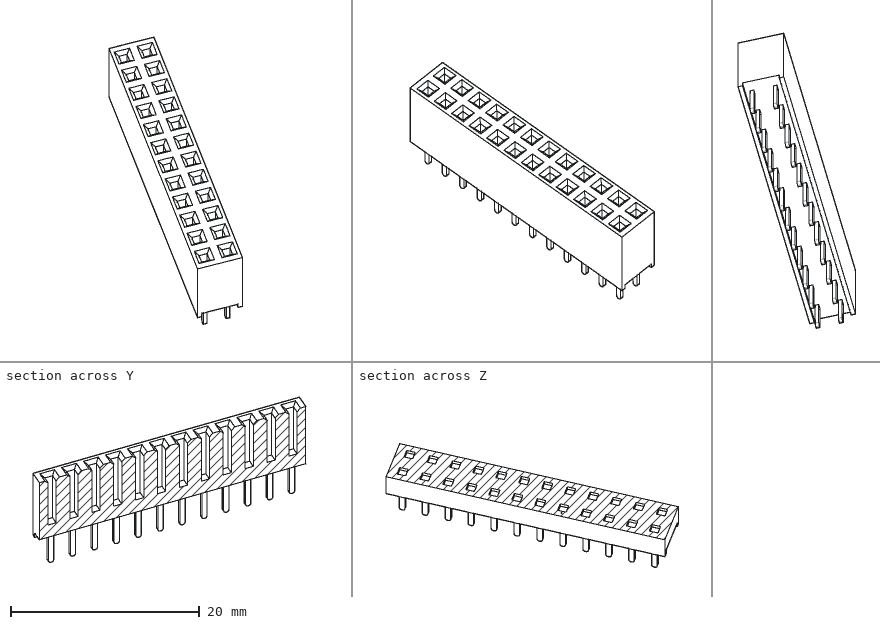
import cadquery as cq

housing_length = 30.9
housing_width = 5.0
housing_height = 8.5
total_height = 11.7

foot_width = 0.5
channel_height = 0.55

columns = 12
rows = 2
end_margin = 1.48
pitch = (housing_length - 2 * end_margin) / (columns - 1)

mouth_size = 1.7
bore_size = 0.9
mouth_depth = (mouth_size - bore_size) / 2
bore_floor_z = 2.32

pin_width = 0.62
pin_thickness = 0.4
pin_tip_z = housing_height - total_height
pin_tip_radius = 0.3
pin_length = channel_height - pin_tip_z


def box_above(length, width, height, base_z):
    """Box centred on the Z axis, standing on base_z."""
    return cq.Workplane("XY").workplane(offset=base_z).rect(length, width).extrude(height)


def on_grid(shape):
    """Copy a shape to every contact position."""
    positions = cq.Workplane("XY").rarray(pitch, pitch, columns, rows)
    return positions.eachpoint(lambda place: shape.val().moved(place))


def make_housing():
    block = box_above(housing_length, housing_width, housing_height, 0)
    channel_width = housing_width - 2 * foot_width
    return block.cut(box_above(housing_length, channel_width, channel_height, 0))


def make_socket():
    """Empty space of one socket: mouth and bore together."""
    mouth = (
        cq.Workplane("XY")
        .workplane(offset=housing_height)
        .rect(mouth_size, mouth_size)
        .workplane(offset=-mouth_depth)
        .rect(bore_size, bore_size)
        .loft()
    )
    bore_height = housing_height - mouth_depth - bore_floor_z
    bore = box_above(bore_size, bore_size, bore_height, bore_floor_z)
    return mouth.union(bore)


def make_pin():
    """Flat pin whose tip is rounded across its width."""
    blade = box_above(pin_width, pin_thickness, pin_length, pin_tip_z)
    return blade.edges("|Y and <Z").fillet(pin_tip_radius)


result = make_housing().cut(on_grid(make_socket())).union(on_grid(make_pin()))